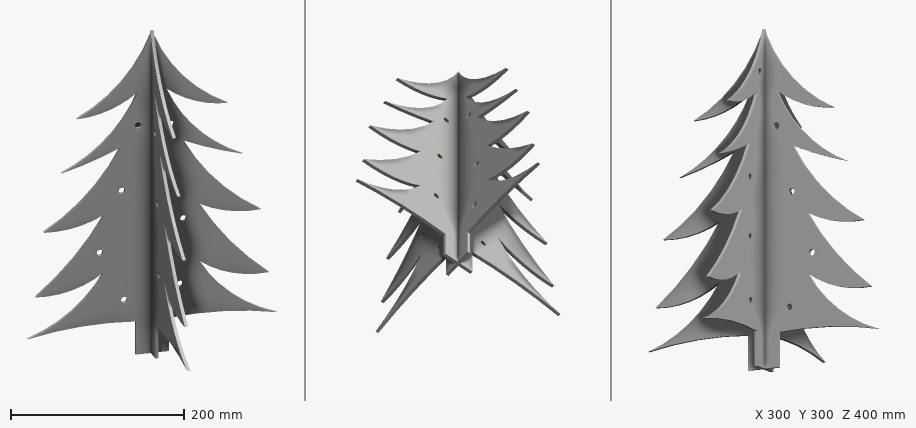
import cadquery as cq

tree_height = 400.0
tree_half_width = 150.0
sheet_thickness = 4.0
trunk_half_width = 20.0
trunk_top = 41.0
slot_split_height = tree_height / 2
hole_diameter = 7.5

branch_arcs = [
    ((30.5, 347.0), (91.0, 300.0)),
    ((47.0, 309.0), (17.0, 326.0)),
    ((51.0, 275.0), (109.0, 235.0)),
    ((71.5, 246.0), (38.0, 259.0)),
    ((75.0, 207.5), (131.0, 163.5)),
    ((90.0, 166.5), (57.0, 178.5)),
    ((92.0, 130.5), (140.5, 84.5)),
    ((85.5, 92.0), (57.0, 107.0)),
    ((89.5, 68.0), (tree_half_width, 33.5)),
    ((80.0, 42.5), (trunk_half_width, trunk_top)),
]

x_sheet_holes = [
    (-13.0, 348.0), (18.5, 279.5), (-37.5, 219.5), (28.0, 195.5),
    (-37.5, 149.0), (33.0, 108.5), (-36.0, 74.5),
]
y_sheet_holes = [
    (-17.0, 284.5), (22.5, 281.5), (-37.0, 205.0), (37.0, 163.0),
    (-63.0, 131.0), (33.0, 82.0), (-34.0, 69.5),
]


def mirrored(point):
    return (-point[0], point[1])


def tree_sheet(hole_centers):
    """Tree silhouette in the XZ plane, centred on Y = 0, with ornament holes."""
    apex = (0, tree_height)
    arc_starts = [apex] + [end for _, end in branch_arcs[:-1]]
    outline = cq.Workplane("XZ").moveTo(*apex)
    for middle, end in branch_arcs:
        outline = outline.threePointArc(middle, end)
    outline = outline.lineTo(trunk_half_width, 0).lineTo(-trunk_half_width, 0)
    outline = outline.lineTo(-trunk_half_width, trunk_top)
    for (middle, _), start in zip(reversed(branch_arcs), reversed(arc_starts)):
        outline = outline.threePointArc(mirrored(middle), mirrored(start))
    sheet = outline.close().extrude(sheet_thickness / 2, both=True)
    holes = (
        cq.Workplane("XZ")
        .pushPoints(hole_centers)
        .circle(hole_diameter / 2)
        .extrude(sheet_thickness, both=True)
    )
    return sheet.cut(holes)


def slot(bottom, top):
    """Square column on the trunk axis where the two sheets cross."""
    return (
        cq.Workplane("XY", origin=(0, 0, bottom))
        .rect(sheet_thickness, sheet_thickness)
        .extrude(top - bottom)
    )


x_sheet = tree_sheet(x_sheet_holes).cut(slot(0, slot_split_height))

y_sheet = tree_sheet(y_sheet_holes).rotate((0, 0, 0), (0, 0, 1), 90)
y_sheet = y_sheet.cut(slot(slot_split_height, tree_height))

result = cq.Compound.makeCompound([x_sheet.solids().val(), y_sheet.solids().val()])